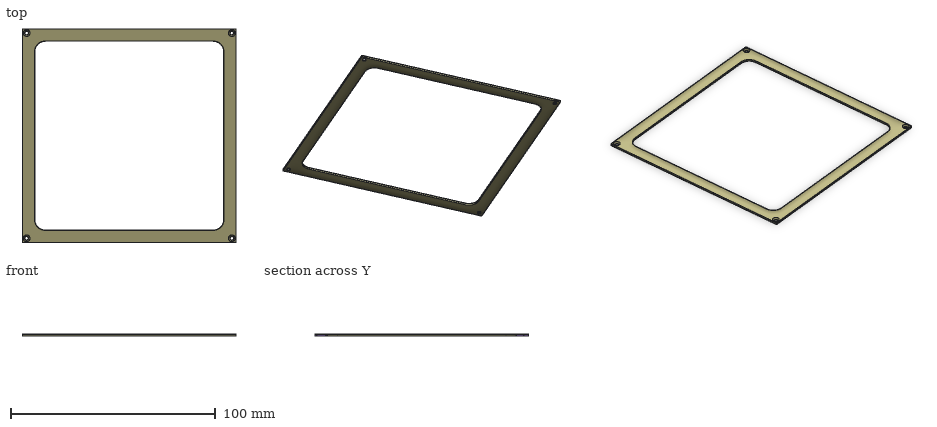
import cadquery as cq

outer_side = 104.35
thickness = 1.0

opening_side = 92.25
opening_corner_radius = 5.1

hole_diameter = 1.75
countersink_diameter = 3.25
countersink_angle = 90.0
hole_edge_distance = 2.075
hole_spacing = outer_side - 2 * hole_edge_distance


def frame_plate():
    """Square plate with its lower face on Z = 0."""
    return cq.Workplane("XY").box(outer_side, outer_side, thickness, centered=(True, True, False))


def cut_opening(plate):
    """Cut the square opening with rounded corners through the plate."""
    opening = (
        cq.Workplane("XY")
        .rect(opening_side, opening_side)
        .extrude(thickness)
        .edges("|Z")
        .fillet(opening_corner_radius)
    )
    return plate.cut(opening)


def cut_corner_holes(plate):
    """Drill the four corner holes, countersunk from the upper face."""
    return (
        plate.faces(">Z")
        .workplane(origin=(0, 0, thickness))
        .rect(hole_spacing, hole_spacing, forConstruction=True)
        .vertices()
        .cskHole(hole_diameter, countersink_diameter, countersink_angle)
    )


result = cut_corner_holes(cut_opening(frame_plate()))